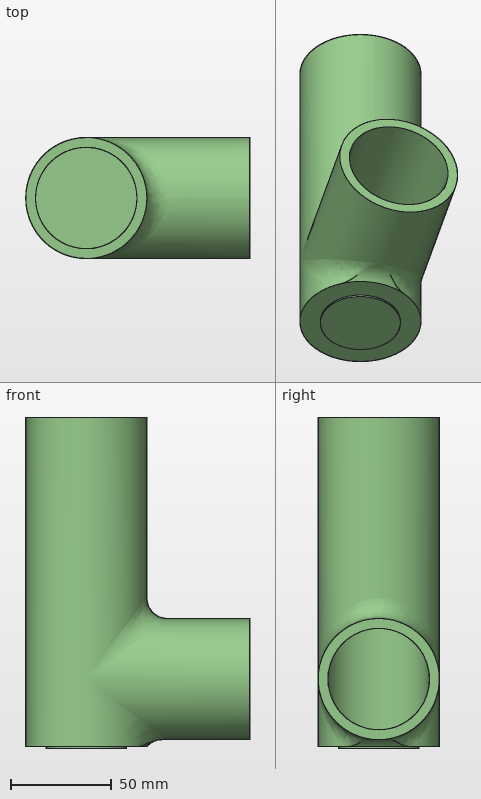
import cadquery as cq
import math

total_height = 164.0
outer_diameter = 60.0
wall = 5.0
branch_reach = 81.0
branch_axis_height = 33.5
crotch_radius = 10.0
foot_diameter = 39.7
foot_height = 1.0

outer_radius = outer_diameter / 2
bore_radius = outer_radius - wall
floor_thickness = wall
upright_height = total_height - foot_height


def upright_cylinder(radius, bottom, top):
    """Cylinder along Z on the upright pipe's axis."""
    return cq.Workplane("XY", origin=(0, 0, bottom)).circle(radius).extrude(top - bottom)


def branch_plane():
    """Plane across the branch, at the upright pipe's axis."""
    return cq.Workplane("YZ", origin=(0, 0, branch_axis_height))


def blended_half_tee():
    """Solid outer shape of the +Y half, with the crotch where the pipes meet rounded.

    The blend shrinks to nothing at the side, where the two pipes run tangent to each
    other, so the crotch edges above and below that point are rounded one after the other.
    """
    half_upright = (
        cq.Workplane("XY")
        .moveTo(outer_radius, 0)
        .threePointArc((0, outer_radius), (-outer_radius, 0))
        .close()
        .extrude(upright_height)
    )
    half_branch = (
        branch_plane()
        .moveTo(0, outer_radius)
        .threePointArc((outer_radius, 0), (0, -outer_radius))
        .close()
        .extrude(branch_reach)
    )
    half_tee = half_branch.union(half_upright)
    half_tee = half_tee.edges("%ELLIPSE").edges(">Z").fillet(crotch_radius)
    return half_tee.edges("%ELLIPSE").edges("<Z").fillet(crotch_radius)


def crotch_trim():
    """Ring below the branch that keeps the blend inside the upright pipe's bottom edge.

    Its concave top starts at the bottom edge and runs tangent into the branch's
    lowest line, with the same radius as the crotch.
    """
    branch_bottom = branch_axis_height - outer_radius
    arc_centre_z = branch_bottom - crotch_radius
    start_angle = math.asin(-arc_centre_z / crotch_radius)
    arc_centre_x = outer_radius + crotch_radius * math.cos(start_angle)
    middle_angle = (start_angle + math.pi / 2) / 2
    arc_middle = (
        arc_centre_x - crotch_radius * math.cos(middle_angle),
        arc_centre_z + crotch_radius * math.sin(middle_angle),
    )
    return (
        cq.Workplane("XZ")
        .moveTo(outer_radius, 0)
        .threePointArc(arc_middle, (arc_centre_x, branch_bottom))
        .lineTo(branch_reach, branch_bottom)
        .lineTo(branch_reach, arc_centre_z)
        .lineTo(outer_radius, arc_centre_z)
        .close()
        .revolve(360, (0, 0, 0), (0, 1, 0))
    )


half = blended_half_tee().cut(crotch_trim())
foot = upright_cylinder(foot_diameter / 2, -foot_height, 0)
upright_bore = upright_cylinder(bore_radius, floor_thickness, upright_height)
branch_bore = branch_plane().circle(bore_radius).extrude(branch_reach)

tee = half.union(half.mirror("XZ"), clean=False).union(foot, clean=False)
tee = tee.cut(upright_bore, clean=False).cut(branch_bore, clean=False)
result = cq.Workplane("XY").newObject([tee.solids().val()])